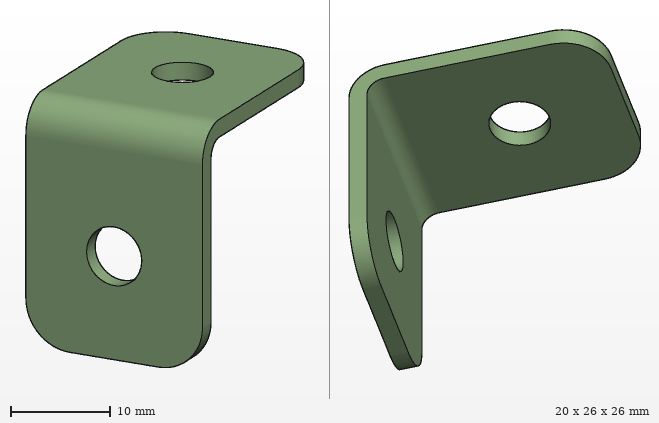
import cadquery as cq

width = 20.0
leg_length = 26.0

thickness = 1.9
bend_outer_radius = 3.7
bend_inner_radius = bend_outer_radius - thickness

corner_radius = 5.0
hole_diameter = 6.21
hole_from_bend_face = 15.0


def bent_sheet():
    """L-shaped strip: the outer bend edge lies on the X axis, one leg along +Y, one along -Z."""
    profile = (
        cq.Workplane("YZ")
        .moveTo(leg_length, 0)
        .lineTo(bend_outer_radius, 0)
        .radiusArc((0, -bend_outer_radius), -bend_outer_radius)
        .lineTo(0, -leg_length)
        .lineTo(thickness, -leg_length)
        .lineTo(thickness, -bend_outer_radius)
        .radiusArc((bend_outer_radius, -thickness), bend_inner_radius)
        .lineTo(leg_length, -thickness)
        .close()
    )
    return profile.extrude(width / 2, both=True)


def hole_cutter(plane):
    """Cylinder through the leg that lies parallel to the given plane."""
    return cq.Workplane(plane).circle(hole_diameter / 2).extrude(thickness, both=True)


bracket = bent_sheet()

bracket = bracket.faces(">Y").edges("|Z").fillet(corner_radius)
bracket = bracket.faces("<Z").edges("|Y").fillet(corner_radius)

bracket = bracket.cut(hole_cutter("XY").translate((0, hole_from_bend_face, 0)))
bracket = bracket.cut(hole_cutter("XZ").translate((0, 0, -hole_from_bend_face)))

result = bracket